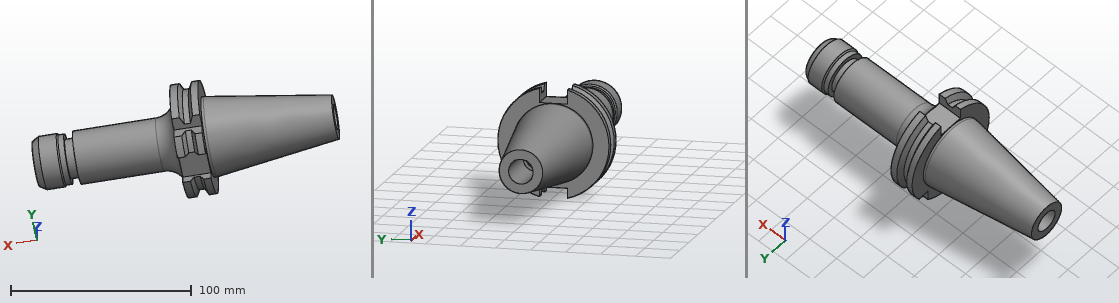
import cadquery as cq
import math

flange_start = 71.5
flange_end = 87.4
taper_end = 70.0
left_rim_end = 75.6
groove_floor_start = 77.6
groove_floor_end = 81.0
right_rim_start = 83.0
fillet_end = 98.5
neck_start = 145.2
neck_end = 150.2
nut_start = 153.4
nut_bevel_end = 154.3
nose_bevel_start = 164.4
nose_edge_start = 167.9
total_length = 168.4

small_end_radius = 12.5
taper_radius = 22.5
flange_radius = 31.75
groove_radius = 28.1
shank_radius = 15.0
neck_radius = 11.1
collar_radius = 14.1
nose_radius = 13.0
nose_edge = total_length - nose_edge_start
root_fillet_radius = 11.6
through_bore_radius = 5.14
rear_bore_radius = 6.99
rear_bore_depth = 32.0

slot_width = 16.0
upper_slot_floor = 22.7
lower_slot_floor = -25.1
notch_y = 18.7
notch_z = -18.2


def revolved_body():
    """Taper, grooved flange, shank and nose turned about the X axis."""
    arc_center_radius = shank_radius + root_fillet_radius

    def fillet_height(x):
        return arc_center_radius - math.sqrt(root_fillet_radius**2 - (fillet_end - x) ** 2)

    fillet_middle = (flange_end + fillet_end) / 2
    profile = (
        cq.Workplane("XY")
        .polyline([
            (0, 0),
            (0, small_end_radius),
            (taper_end, taper_radius),
            (flange_start, taper_radius),
            (flange_start, flange_radius),
            (left_rim_end, flange_radius),
            (groove_floor_start, groove_radius),
            (groove_floor_end, groove_radius),
            (right_rim_start, flange_radius),
            (flange_end, flange_radius),
            (flange_end, fillet_height(flange_end)),
        ])
        .threePointArc((fillet_middle, fillet_height(fillet_middle)), (fillet_end, shank_radius))
        .lineTo(neck_start, shank_radius)
        .lineTo(neck_start, neck_radius)
        .lineTo(neck_end, neck_radius)
        .lineTo(neck_end, collar_radius)
        .lineTo(nut_start, collar_radius)
        .lineTo(nut_bevel_end, shank_radius)
        .lineTo(nose_bevel_start, shank_radius)
        .lineTo(nose_edge_start, nose_radius)
        .lineTo(total_length, nose_radius - nose_edge)
        .lineTo(total_length, 0)
        .close()
    )
    return profile.revolve(360, (0, 0, 0), (1, 0, 0))


def bore(radius, depth):
    """Round cutter entering from the small end of the taper."""
    return cq.Workplane("YZ").circle(radius).extrude(depth)


def flange_cutter(y_from, y_to, z_from, z_to):
    """Rectangular cutter running from the rear flange face to the end of the root fillet."""
    return (
        cq.Workplane("XY")
        .box(fillet_end - flange_start, y_to - y_from, z_to - z_from, centered=False)
        .translate((flange_start, y_from, z_from))
    )


reach = flange_radius + 1.7
half_slot = slot_width / 2

result = (
    revolved_body()
    .cut(bore(through_bore_radius, total_length))
    .cut(bore(rear_bore_radius, rear_bore_depth))
    .cut(flange_cutter(-half_slot, half_slot, upper_slot_floor, reach))
    .cut(flange_cutter(-half_slot, half_slot, -reach, lower_slot_floor))
    .cut(flange_cutter(notch_y, reach, -reach, notch_z))
)